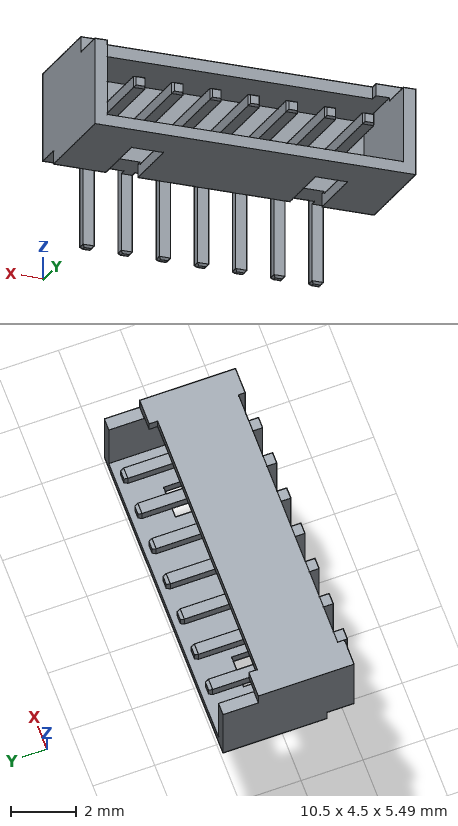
import cadquery as cq


body_width = 10.5
body_depth = 4.24
body_height = 3.33
side_wall = 0.4
roof_thickness = 0.4
floor_thickness = 0.37
front_wall_end = 1.05

recess_depth = 0.22
front_post_width = 0.86
step_depth = 0.87
step_height = 0.44

ear_length = 1.14
ear_drop = 0.5
roof_setback = 1.42
roof_tab_width = 0.84

window_width = 1.05
window_inset = 1.71
window_to_rear = 1.29

pin_count = 7
pin_pitch = 1.25
pin_width = 0.37
leg_thickness = 0.27
leg_front = -0.26
leg_bottom = -2.16
leg_top = 2.26
leg_tip_length = 0.07
leg_tip_inset = 0.06
contact_end_gap = 0.03
contact_tip_length = 0.12
contact_tip_inset = 0.04


def block(x_range, y_range, z_range):
    """Axis-aligned box between the given limits."""
    x0, x1 = x_range
    y0, y1 = y_range
    z0, z1 = z_range
    return cq.Workplane("XY").box(x1 - x0, y1 - y0, z1 - z0, centered=False).translate((x0, y0, z0))


def across(width):
    """X limits of a feature centred on the part."""
    return (-width / 2, width / 2)


def tapered_tip(plane, width, thickness, length, inset):
    """Square-ended point that narrows by the inset on all four sides."""
    return (
        cq.Workplane(plane)
        .rect(width, thickness)
        .workplane(offset=length)
        .rect(width - 2 * inset, thickness - 2 * inset)
        .loft(ruled=True)
    )


def make_housing():
    full_height = (0, body_height)
    housing = block(across(body_width), (0, body_depth), full_height)

    recess = block(across(body_width - 2 * front_post_width), (0, recess_depth), full_height)
    step = block(across(body_width), (0, step_depth), (0, step_height))

    cavity_x = across(body_width - 2 * side_wall)
    cavity = block(cavity_x, (front_wall_end, body_depth), (floor_thickness, body_height - roof_thickness))

    ear_y = (body_depth - ear_length, body_depth)
    ear_cut = block(across(body_width), ear_y, (body_height - ear_drop, body_height))
    setback_x = across(body_width - 2 * roof_tab_width)
    setback_y = (body_depth - roof_setback, body_depth)
    setback_cut = block(setback_x, setback_y, (body_height - ear_drop, body_height))

    housing = housing.cut(recess).cut(step).cut(cavity).cut(ear_cut).cut(setback_cut)

    window_start = -body_width / 2 + window_inset
    window = block(
        (window_start, window_start + window_width),
        (step_depth, body_depth - window_to_rear),
        (0, step_height),
    )
    return housing.cut(window).cut(window.mirror("YZ"))


def make_pin():
    pin_x = across(pin_width)

    leg_y = (leg_front, leg_front + leg_thickness)
    leg = block(pin_x, leg_y, (leg_bottom + leg_tip_length, leg_top))
    leg_tip = tapered_tip("XY", pin_width, leg_thickness, -leg_tip_length, leg_tip_inset)
    leg_tip = leg_tip.translate((0, sum(leg_y) / 2, leg_bottom + leg_tip_length))

    web = block(pin_x, (leg_front, recess_depth), (step_height, leg_top))

    contact_z = (floor_thickness + body_height - roof_thickness) / 2
    contact_end = body_depth - contact_end_gap - contact_tip_length
    contact = block(pin_x, (0, contact_end), (contact_z - pin_width / 2, contact_z + pin_width / 2))
    contact_tip = tapered_tip("XZ", pin_width, pin_width, -contact_tip_length, contact_tip_inset)
    contact_tip = contact_tip.translate((0, contact_end, contact_z))

    return leg.union(leg_tip).union(web).union(contact).union(contact_tip)


result = make_housing()
pin = make_pin()
for index in range(pin_count):
    pin_x_position = (index - (pin_count - 1) / 2) * pin_pitch
    result = result.union(pin.translate((pin_x_position, 0, 0)))